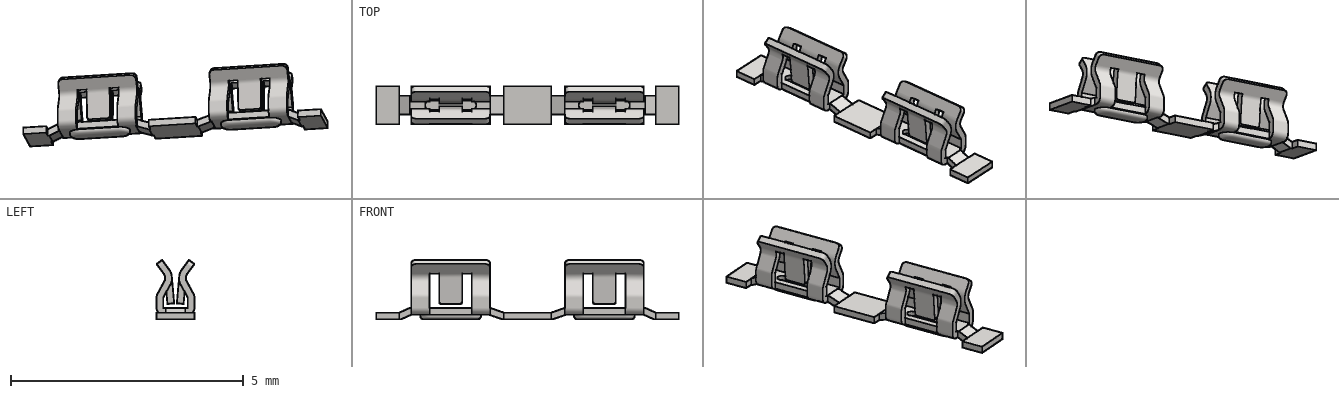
import cadquery as cq
import math

SHEET = 0.15
LENGTH = 6.5
WIDTH = 0.82
NECK_WIDTH = 0.41
RISE = 0.1
END_TAB = 0.5
MIDDLE_TAB = 1.02
OUTER_RAMP = 0.22
INNER_RAMP = 0.29

CLIP_X = 1.65
CLIP_LENGTH = 1.7
WINDOW_LENGTH = 0.9
TONGUE_LENGTH = 0.5
HEIGHT = 1.28
FLOOR_TOP = RISE + SHEET
LEG_BEND = SHEET
KNEE_Z = 0.51
KNEE_RADIUS = 0.15
LEG_LEAN = 28.3
FLAP_LEAN = 36
TONGUE_LEAN = 5
THROAT_GAP = 0.15
THROAT_RADIUS = 0.15
TONGUE_TIP_Z = 0.33
FLAP_CORNER = 0.1
TONGUE_CORNER = 0.05

RIB_LENGTH = WINDOW_LENGTH + NECK_WIDTH
RIB_WIDTH = NECK_WIDTH
RIB_EDGE = 0.08
RIB_POCKET_WIDTH = 0.2

AXIS_Y = THROAT_GAP / 2 + SHEET + THROAT_RADIUS
OUTER_FACE = THROAT_RADIUS
INNER_FACE = THROAT_RADIUS + SHEET


def direction(lean):
    """Upward (y, z) direction leaning outwards by the given angle."""
    angle = math.radians(lean)
    return math.sin(angle), math.cos(angle)


def along(point, lean, distance):
    """Point reached by moving from a (y, z) point along a leaning direction."""
    dy, dz = direction(lean)
    return point[0] + distance * dy, point[1] + distance * dz


def knee_to_axis_height():
    """Height of the throat axis above the knee so that the leaning leg is tangent to the bend."""
    angle = math.radians(LEG_LEAN)
    offset = WIDTH / 2 - AXIS_Y
    return (THROAT_RADIUS + offset * math.cos(angle)) / math.sin(angle)


AXIS_Z = KNEE_Z + knee_to_axis_height()


def throat(radius, lean):
    """Point of the throat bend where its face leans by the given angle."""
    dy, dz = direction(lean)
    return AXIS_Y - radius * dz, AXIS_Z + radius * dy


def extrude_x(outline, length):
    """Extrude a (y, z) outline symmetrically about X = 0."""
    return outline.close().extrude(length / 2, both=True)


def box(size_x, size_y, bottom, top):
    """Box centred on the Z axis between two heights."""
    return cq.Workplane("XY").workplane(offset=bottom).rect(size_x, size_y).extrude(top - bottom)


def flap():
    """Flared lead-in along the whole clip, with rounded free corners."""
    inner_start = throat(INNER_FACE, FLAP_LEAN)
    outer_start = throat(OUTER_FACE, FLAP_LEAN)
    reach = (HEIGHT - inner_start[1]) / direction(FLAP_LEAN)[1]
    outline = (
        cq.Workplane("YZ")
        .moveTo(*inner_start)
        .lineTo(*along(inner_start, FLAP_LEAN, reach))
        .lineTo(*along(outer_start, FLAP_LEAN, reach))
        .lineTo(*outer_start)
    )
    upward = cq.Vector(0, *direction(FLAP_LEAN))
    end_face = extrude_x(outline, CLIP_LENGTH).faces(cq.selectors.DirectionMinMaxSelector(upward, True))
    return end_face.edges("not |X").fillet(FLAP_CORNER)


def leg_strip():
    """Both legs of an arm as one strip: upright, leaning part and throat bend."""
    outer = WIDTH / 2
    inner = outer - SHEET
    half_lean = math.radians(LEG_LEAN / 2)
    knee_run = KNEE_RADIUS * math.tan(half_lean)
    knee_rise = KNEE_RADIUS * math.sin(half_lean)
    knee_start = (outer, KNEE_Z - knee_run)
    knee_middle = (outer - KNEE_RADIUS * (1 - math.cos(half_lean)), knee_start[1] + knee_rise)
    knee_end = along((outer, KNEE_Z), -LEG_LEAN, knee_run)
    inner_knee = (inner, KNEE_Z - SHEET * math.tan(half_lean))
    bend_offset = LEG_BEND * (1 - math.sqrt(0.5))
    middle_lean = (FLAP_LEAN - LEG_LEAN) / 2
    outline = (
        cq.Workplane("YZ")
        .moveTo(inner, FLOOR_TOP)
        .lineTo(*inner_knee)
        .lineTo(*throat(INNER_FACE, -LEG_LEAN))
        .threePointArc(throat(INNER_FACE, middle_lean), throat(INNER_FACE, FLAP_LEAN))
        .lineTo(*throat(OUTER_FACE, FLAP_LEAN))
        .threePointArc(throat(OUTER_FACE, middle_lean), throat(OUTER_FACE, -LEG_LEAN))
        .lineTo(*knee_end)
        .threePointArc(knee_middle, knee_start)
        .lineTo(outer, RISE + LEG_BEND)
        .threePointArc((outer - bend_offset, RISE + bend_offset), (outer - LEG_BEND, RISE))
    )
    return extrude_x(outline, CLIP_LENGTH)


def legs():
    """The two legs of an arm, separated by the window."""
    return leg_strip().cut(box(WINDOW_LENGTH, 2 * WIDTH, 0, HEIGHT))


def tongue():
    """Spring tongue hanging from the throat between the legs."""
    middle_lean = (FLAP_LEAN + TONGUE_LEAN) / 2
    inner_start = throat(INNER_FACE, TONGUE_LEAN)
    outer_start = throat(OUTER_FACE, TONGUE_LEAN)
    reach = (outer_start[1] - TONGUE_TIP_Z) / direction(TONGUE_LEAN)[1]
    outline = (
        cq.Workplane("YZ")
        .moveTo(*throat(INNER_FACE, FLAP_LEAN))
        .threePointArc(throat(INNER_FACE, middle_lean), inner_start)
        .lineTo(*along(inner_start, TONGUE_LEAN, -reach))
        .lineTo(*along(outer_start, TONGUE_LEAN, -reach))
        .lineTo(*outer_start)
        .threePointArc(throat(OUTER_FACE, middle_lean), throat(OUTER_FACE, FLAP_LEAN))
    )
    upward = cq.Vector(0, *direction(TONGUE_LEAN))
    tip = extrude_x(outline, TONGUE_LENGTH).faces(cq.selectors.DirectionMinMaxSelector(upward, False))
    return tip.edges("not |X").fillet(TONGUE_CORNER)


def stadium(length, width, bottom, top):
    """Round-ended block along X between two heights."""
    return cq.Workplane("XY").workplane(offset=bottom).slot2D(length, width).extrude(top - bottom)


def clip():
    """One clip centred on X = 0, standing on its raised floor."""
    arm = legs().union(flap()).union(tongue())
    floor_width = WIDTH - 2 * LEG_BEND
    rib = stadium(RIB_LENGTH, RIB_WIDTH, 0, FLOOR_TOP).faces("<Z").edges().fillet(RIB_EDGE)
    pocket_length = WINDOW_LENGTH + RIB_POCKET_WIDTH
    pocket = stadium(pocket_length, RIB_POCKET_WIDTH, SHEET, FLOOR_TOP)
    return (
        box(CLIP_LENGTH, floor_width, RISE, FLOOR_TOP)
        .union(arm)
        .union(arm.mirror("XZ"))
        .union(rib)
        .cut(pocket)
    )


def ramp(low_x, run, toward):
    """Neck climbing from a tab end at low_x into the clip floor; toward is +1 or -1 along X."""
    crease = toward * SHEET * math.tan(math.atan2(RISE, run) / 2)
    high_x = low_x + run * toward
    anchor_x = math.copysign(CLIP_X, low_x) - toward * RIB_LENGTH / 2
    outline = [
        (low_x, SHEET),
        (high_x, FLOOR_TOP),
        (anchor_x, FLOOR_TOP),
        (anchor_x, RISE),
        (high_x + crease, RISE),
        (low_x + crease, 0),
        (low_x, 0),
    ]
    return cq.Workplane("XZ").polyline(outline).close().extrude(NECK_WIDTH / 2, both=True)


def strip_with_clips():
    """Carrier strip with its three tabs, four ramps and two clips."""
    body = box(MIDDLE_TAB, WIDTH, 0, SHEET)
    for side in (-1, 1):
        tab_x = side * (LENGTH - END_TAB) / 2
        body = body.union(box(END_TAB, WIDTH, 0, SHEET).translate((tab_x, 0, 0)))
        body = body.union(ramp(side * (LENGTH / 2 - END_TAB), OUTER_RAMP, -side))
        body = body.union(ramp(side * MIDDLE_TAB / 2, INNER_RAMP, side))
        body = body.union(clip().translate((side * CLIP_X, 0, 0)))
    return body


result = strip_with_clips().solids()